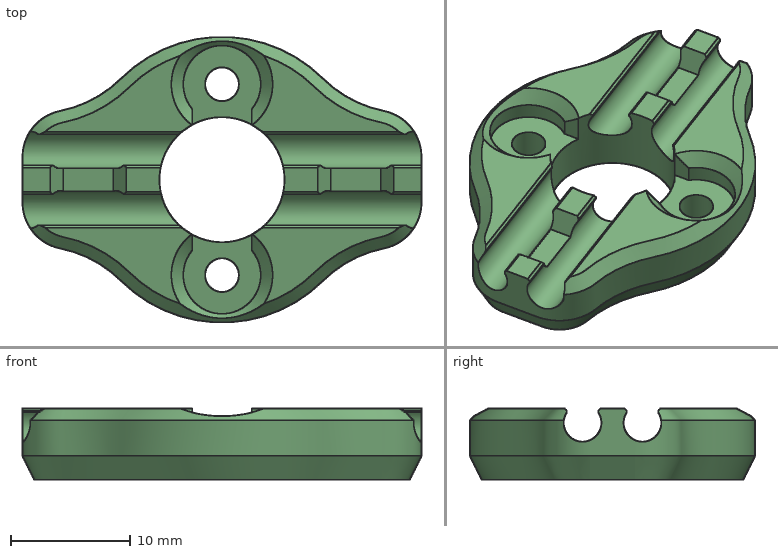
import cadquery as cq
import math

length = 33.5
height = 6.0
top_z = height / 2
edge_chamfer = 1.0
base_chamfer_height = 2.0
base_chamfer_width = 1.0

middle_radius = 12.0
flank_radius = 10.0
corner_radius = 4.0
flat_half_width = 1.88

bore_diameter = 10.5
screw_offset = 8.0
screw_diameter = 2.8
recess_radius = 3.25
recess_depth = 2.4
countersink_depth = 1.0
neck_width = 5.0

groove_offset = 2.5
groove_radius = 1.57
groove_axis_depth = 1.2
throat_width = 2.6
lip_chamfer = 0.2

notch_center = 11.22
notch_floor = 4.2
notch_depth = 1.5
notch_slope_run = 1.1


def outline():
    """Closed plate outline, symmetric about both axes."""
    corner = (length / 2 - corner_radius, flat_half_width)

    corner_distance = math.hypot(*corner)
    middle_reach = middle_radius + flank_radius
    corner_reach = corner_radius + flank_radius
    cosine = (middle_reach**2 + corner_distance**2 - corner_reach**2) / (2 * middle_reach * corner_distance)
    flank_angle = math.atan2(corner[1], corner[0]) + math.acos(cosine)
    flank = (middle_reach * math.cos(flank_angle), middle_reach * math.sin(flank_angle))
    corner_angle = math.atan2(flank[1] - corner[1], flank[0] - corner[0])

    def on_circle(center, radius, angle):
        return (center[0] + radius * math.cos(angle), center[1] + radius * math.sin(angle))

    flat_end = (length / 2, flat_half_width)
    corner_mid = on_circle(corner, corner_radius, corner_angle / 2)
    corner_end = on_circle(corner, corner_radius, corner_angle)
    flank_mid = on_circle(flank, flank_radius, math.pi + (corner_angle + flank_angle) / 2)
    flank_end = on_circle((0, 0), middle_radius, flank_angle)

    def mirrored(point, x_sign, y_sign):
        return (x_sign * point[0], y_sign * point[1])

    wire = cq.Workplane("XY").workplane(offset=-top_z).moveTo(*mirrored(flat_end, 1, -1)).lineTo(*flat_end)
    for side in (1, -1):
        wire = (
            wire.threePointArc(mirrored(corner_mid, side, side), mirrored(corner_end, side, side))
            .threePointArc(mirrored(flank_mid, side, side), mirrored(flank_end, side, side))
            .threePointArc((0, side * middle_radius), mirrored(flank_end, -side, side))
            .threePointArc(mirrored(flank_mid, -side, side), mirrored(corner_end, -side, side))
            .threePointArc(mirrored(corner_mid, -side, side), mirrored(flat_end, -side, side))
        )
        if side == 1:
            wire = wire.lineTo(*mirrored(flat_end, -1, -1))
    return wire.close()


def plate():
    """Plate with chamfered rims; the end flats stay square at the top."""
    body = outline().extrude(height)
    body = body.faces("<Z").chamfer(base_chamfer_height, base_chamfer_width)
    body = body.faces(">Z").chamfer(edge_chamfer)
    square_ends = cq.Workplane("XY").box(length, 2 * flat_half_width, top_z, centered=(True, True, False))
    return body.union(square_ends)


def screw_seat(side):
    """Countersunk recess, screw hole and the neck that opens into the bore."""
    center_y = side * screw_offset
    top = cq.Workplane("XY").workplane(offset=top_z).center(0, center_y)
    recess = top.circle(recess_radius).extrude(-recess_depth)
    hole = top.circle(screw_diameter / 2).extrude(-height)
    countersink = (
        top.circle(recess_radius + countersink_depth)
        .workplane(offset=-countersink_depth)
        .circle(recess_radius)
        .loft(combine=True)
    )
    neck = (
        cq.Workplane("XY")
        .workplane(offset=top_z)
        .center(0, center_y / 2)
        .rect(neck_width, screw_offset)
        .extrude(-recess_depth)
    )
    return recess.union(hole).union(countersink).union(neck)


def cable_groove(side):
    """Round groove with a narrower throat and bevelled lips."""
    end_plane = cq.Workplane("YZ").workplane(offset=-length / 2).center(side * groove_offset, top_z)
    channel = end_plane.center(0, -groove_axis_depth).circle(groove_radius).extrude(length)
    half_throat = throat_width / 2
    throat = (
        end_plane.moveTo(-half_throat - lip_chamfer, 0)
        .lineTo(half_throat + lip_chamfer, 0)
        .lineTo(half_throat, -lip_chamfer)
        .lineTo(half_throat, -groove_axis_depth)
        .lineTo(-half_throat, -groove_axis_depth)
        .lineTo(-half_throat, -lip_chamfer)
        .close()
        .extrude(length)
    )
    return channel.union(throat)


def rib_notch(side):
    """Notch across the rib with sloped ends."""
    half_floor = notch_floor / 2
    half_top = half_floor + notch_slope_run
    return (
        cq.Workplane("XZ")
        .center(side * notch_center, top_z)
        .moveTo(-half_top, 0)
        .lineTo(half_top, 0)
        .lineTo(half_floor, -notch_depth)
        .lineTo(-half_floor, -notch_depth)
        .close()
        .extrude(groove_offset / 2, both=True)
    )


result = plate()
for side in (1, -1):
    result = result.cut(screw_seat(side))
    result = result.cut(cable_groove(side))
    result = result.cut(rib_notch(side))
bore = cq.Workplane("XY").circle(bore_diameter / 2).extrude(top_z, both=True)
result = result.cut(bore)